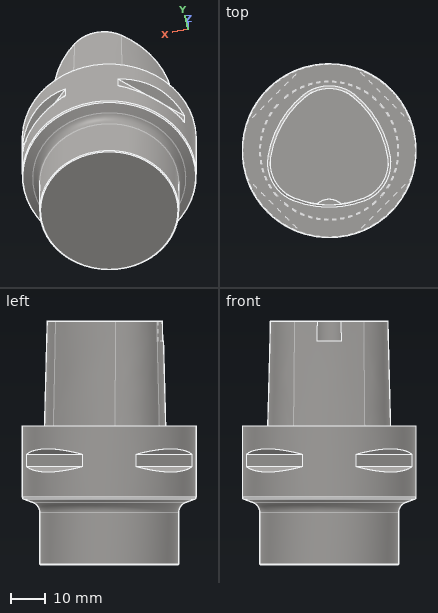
import cadquery as cq
import math

total_height = 70.0
flange_top_z = 40.0
flange_bottom_z = 19.6
slot_z = 30.0

flange_radius = 50.0 / 2
collar_radius = 40.0 / 2
collar_chamfer = 0.3
flange_edge_width = 0.2
flange_edge_height = 0.6
underside_angle = math.radians(20)
neck_fillet_radius = 3.0

lobe_tip_distance = 18.6
flank_distance = 16.25
lobe_center_distance = 7.0
shank_inset = 0.8

slot_floor_distance = 22.25
slot_floor_height = 3.5
slot_wall_angle = math.radians(30)
slot_angles = (45, 135, 225, 315)

notch_radius = 5.0
notch_inner_y = -13.9
notch_depth = 5.75


def polar(distance, degrees):
    angle = math.radians(degrees)
    return distance * math.cos(angle), distance * math.sin(angle)


def make_body():
    """Collar, filleted neck and flange as one revolved profile."""
    edge_radius = flange_radius - flange_edge_width
    edge_z = flange_bottom_z - flange_edge_height
    fillet_center_r = collar_radius + neck_fillet_radius
    fillet_top_r = fillet_center_r - neck_fillet_radius * math.sin(underside_angle)
    fillet_top_z = edge_z - (edge_radius - fillet_top_r) * math.tan(underside_angle)
    fillet_center_z = fillet_top_z - neck_fillet_radius * math.cos(underside_angle)
    middle_angle = (underside_angle + math.pi / 2) / 2
    fillet_middle = (
        fillet_center_r - neck_fillet_radius * math.sin(middle_angle),
        fillet_center_z + neck_fillet_radius * math.cos(middle_angle),
    )
    return (
        cq.Workplane("XZ")
        .lineTo(collar_radius - collar_chamfer, 0)
        .lineTo(collar_radius, collar_chamfer)
        .lineTo(collar_radius, fillet_center_z)
        .threePointArc(fillet_middle, (fillet_top_r, fillet_top_z))
        .lineTo(edge_radius, edge_z)
        .lineTo(flange_radius, flange_bottom_z)
        .lineTo(flange_radius, flange_top_z)
        .lineTo(0, flange_top_z)
        .close()
        .revolve(360, (0, 0), (0, 1))
    )


def add_shank_outline(sketch, inset):
    """Draw three lobe arcs joined tangentially by three flatter flank arcs."""
    bulge = lobe_tip_distance - flank_distance
    flank_center_distance = (
        bulge * (2 * lobe_center_distance - bulge) / (lobe_center_distance - 2 * bulge)
    )
    flank_radius = flank_distance + flank_center_distance - inset

    lobe_x, lobe_y = polar(lobe_center_distance, -30)
    joint_angle = math.atan2(lobe_y - flank_center_distance, lobe_x)
    joint_x = flank_radius * math.cos(joint_angle)
    joint_y = flank_center_distance + flank_radius * math.sin(joint_angle)
    joint_distance = math.hypot(joint_x, joint_y)
    joint_offset = math.degrees(math.atan2(joint_y, joint_x)) + 90

    sketch = sketch.moveTo(*polar(joint_distance, -90 - joint_offset))
    for flank_angle in (-90, 30, 150):
        lobe_angle = flank_angle + 60
        next_flank_angle = flank_angle + 120
        sketch = sketch.threePointArc(
            polar(flank_distance - inset, flank_angle),
            polar(joint_distance, flank_angle + joint_offset),
        ).threePointArc(
            polar(lobe_tip_distance - inset, lobe_angle),
            polar(joint_distance, next_flank_angle - joint_offset),
        )
    return sketch.close()


def make_shank():
    base = add_shank_outline(cq.Workplane("XY").workplane(offset=flange_top_z), 0)
    top_plane = base.workplane(offset=total_height - flange_top_z)
    return add_shank_outline(top_plane, shank_inset).loft(ruled=True)


def make_slot(angle):
    """Straight slot across the flange, with walls that flare outward."""
    depth = flange_radius - slot_floor_distance
    half_floor = slot_floor_height / 2
    half_mouth = half_floor + depth * math.tan(slot_wall_angle)
    return (
        cq.Workplane("XZ")
        .moveTo(slot_floor_distance, slot_z - half_floor)
        .lineTo(flange_radius, slot_z - half_mouth)
        .lineTo(flange_radius, slot_z + half_mouth)
        .lineTo(slot_floor_distance, slot_z + half_floor)
        .close()
        .extrude(flange_radius, both=True)
        .rotate((0, 0, 0), (0, 0, 1), angle)
    )


def make_notch():
    return (
        cq.Workplane("XY")
        .workplane(offset=total_height - notch_depth)
        .center(0, notch_inner_y - notch_radius)
        .circle(notch_radius)
        .extrude(notch_depth)
    )


result = make_body().union(make_shank())
for slot_angle in slot_angles:
    result = result.cut(make_slot(slot_angle))
result = result.cut(make_notch())